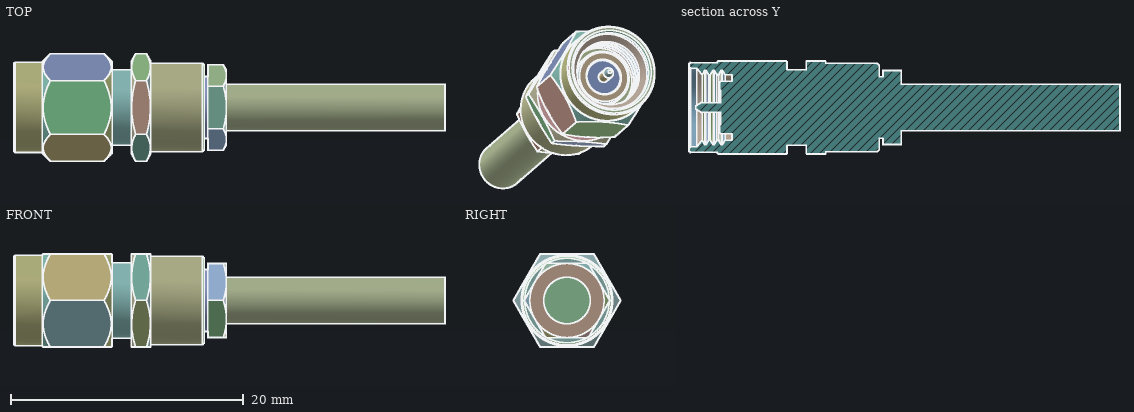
import cadquery as cq
import math

TOTAL_LENGTH = 37.1

COLLAR_RADIUS = 3.9
COLLAR_CHAMFER_LENGTH = 0.15
COLLAR_CHAMFER_HEIGHT = 0.1
NUT_START = 2.45
NUT_END = 8.45
HEX_WIDTH = 8.0
HEX_FACE_RADIUS = 3.95
NUT_CHAMFER_SLOPE = 1.0

NECK_RADIUS = 3.25
BODY_HEX_START = 10.1
BODY_HEX_END = 11.8
SHORT_HEX_CHAMFER_SLOPE = 0.55
BARREL_RADIUS = 3.82
BARREL_END = 16.4
BARREL_CHAMFER = 0.2
GROOVE_RADIUS = 2.67

CLAMP_START = 16.7
CLAMP_END = 18.3
CLAMP_WIDTH = 6.38
CLAMP_FACE_RADIUS = 3.2

CABLE_RADIUS = 2.0

MOUTH_RADIUS = 3.52
MOUTH_CHAMFER = 0.2
THREAD_LEAD_IN = 0.7
THREAD_START = 1.15
THREAD_CREST_RADIUS = 2.8
THREAD_ROOT_RADIUS = 3.2
THREAD_PITCH = 0.7
THREAD_CREST_WIDTH = 0.15
THREAD_FLANK_ANGLE = 30
THREAD_TURNS = 3
SOCKET_DEPTH = 3.7

TUBE_RADIUS = 2.3
TUBE_START = 2.65
TUBE_CHAMFER = 0.15
DIELECTRIC_RADIUS = 1.5
DIELECTRIC_CHAMFER = 0.07
DIELECTRIC_RECESS = 0.1
PIN_RADIUS = 0.45
PIN_TIP_RADIUS = 0.15
PIN_START = 0.6
PIN_TIP_LENGTH = 0.5


def turned(outline):
    """Close a list of (x, radius) points onto the X axis and revolve it."""
    profile = [(outline[0][0], 0)] + outline + [(outline[-1][0], 0)]
    return cq.Workplane("XY").polyline(profile).close().revolve(360, (0, 0, 0), (1, 0, 0))


def hexagon(start, end, width, face_radius, chamfer_slope, chamfer_front=True):
    """Hexagonal prism along X, flats up and down, with its corners turned off conically."""
    corner_radius = width / math.sqrt(3)
    prism = cq.Workplane("YZ").workplane(offset=start).polygon(6, 2 * corner_radius).extrude(end - start)
    chamfer_length = chamfer_slope * (corner_radius - face_radius)
    if chamfer_front:
        front = [(start, face_radius), (start + chamfer_length, corner_radius)]
    else:
        front = [(start, corner_radius)]
    back = [(end - chamfer_length, corner_radius), (end, face_radius)]
    return prism.intersect(turned(front + back))


def round_outside():
    """All turned outer surfaces in one piece; the hexagons are added over it."""
    return turned([
        (0, COLLAR_RADIUS - COLLAR_CHAMFER_HEIGHT),
        (COLLAR_CHAMFER_LENGTH, COLLAR_RADIUS),
        (NUT_START, COLLAR_RADIUS),
        (NUT_START, NECK_RADIUS),
        (BODY_HEX_START, NECK_RADIUS),
        (BODY_HEX_START, BARREL_RADIUS),
        (BARREL_END - BARREL_CHAMFER, BARREL_RADIUS),
        (BARREL_END, BARREL_RADIUS - BARREL_CHAMFER),
        (BARREL_END, GROOVE_RADIUS),
        (CLAMP_START, GROOVE_RADIUS),
        (CLAMP_START, CABLE_RADIUS),
        (TOTAL_LENGTH, CABLE_RADIUS),
    ])


def socket():
    """Cavity of the coupling nut, with the thread as ring grooves."""
    outline = [
        (0, MOUTH_RADIUS),
        (MOUTH_CHAMFER, MOUTH_RADIUS - MOUTH_CHAMFER),
        (THREAD_LEAD_IN, MOUTH_RADIUS - MOUTH_CHAMFER),
    ]
    flank = (THREAD_ROOT_RADIUS - THREAD_CREST_RADIUS) * math.tan(math.radians(THREAD_FLANK_ANGLE))
    for turn in range(THREAD_TURNS):
        groove_start = THREAD_START + turn * THREAD_PITCH
        groove_end = groove_start + THREAD_PITCH - THREAD_CREST_WIDTH
        outline += [
            (groove_start, THREAD_CREST_RADIUS),
            (groove_start + flank, THREAD_ROOT_RADIUS),
            (groove_end - flank, THREAD_ROOT_RADIUS),
            (groove_end, THREAD_CREST_RADIUS),
        ]
    outline.append((SOCKET_DEPTH, THREAD_CREST_RADIUS))
    return turned(outline)


def contact():
    """Tube, dielectric and pin standing on the socket floor."""
    tube = turned([
        (TUBE_START, TUBE_RADIUS - TUBE_CHAMFER),
        (TUBE_START + TUBE_CHAMFER, TUBE_RADIUS),
        (SOCKET_DEPTH, TUBE_RADIUS),
    ])
    recess = turned([
        (TUBE_START, DIELECTRIC_RADIUS + DIELECTRIC_CHAMFER),
        (TUBE_START + DIELECTRIC_CHAMFER, DIELECTRIC_RADIUS),
        (TUBE_START + DIELECTRIC_RECESS, DIELECTRIC_RADIUS),
    ])
    pin = turned([
        (PIN_START, PIN_TIP_RADIUS),
        (PIN_START + PIN_TIP_LENGTH, PIN_RADIUS),
        (SOCKET_DEPTH, PIN_RADIUS),
    ])
    return tube.cut(recess).union(pin)


coupling_hex = hexagon(NUT_START, NUT_END, HEX_WIDTH, HEX_FACE_RADIUS, NUT_CHAMFER_SLOPE)
body_hex = hexagon(BODY_HEX_START, BODY_HEX_END, HEX_WIDTH, HEX_FACE_RADIUS, SHORT_HEX_CHAMFER_SLOPE)
clamp_hex = hexagon(
    CLAMP_START, CLAMP_END, CLAMP_WIDTH, CLAMP_FACE_RADIUS, SHORT_HEX_CHAMFER_SLOPE, chamfer_front=False
)

connector = round_outside().union(coupling_hex).union(body_hex).union(clamp_hex)
result = connector.cut(socket()).union(contact())